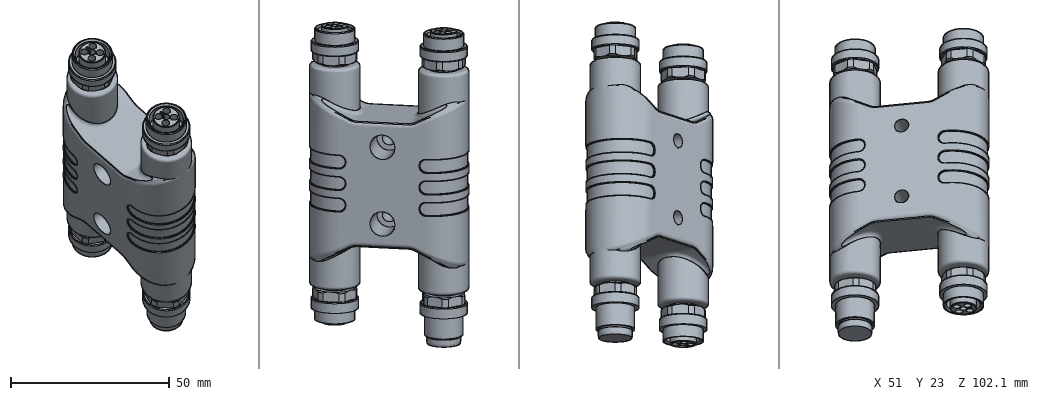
import cadquery as cq
import math

body_center_z = 2.6

body_length = 51.0
body_thickness = 23.0
web_half_height = 20.5
web_flat_half_width = 8.2
shoulder_angle = math.radians(27)
shoulder_bend_radius = 5.3
body_edge_fillet = 1.5

housing_diameter = 16.0
housing_half_height = 36.1
housing_edge_fillet = 1.0
housing_root_fillet = 1.5
root_limit_rise = 1.0
root_limit_inset = 0.5

mount_spacing = 25.1
mount_hole_diameter = 4.5
mount_bore_diameter = 8.0
mount_bore_depth = body_thickness / 2

groove_count = 3
groove_pitch = 7.0
groove_height = 4.1
groove_depth = 0.4
groove_chamfer = 0.26

nut_start = 37.1
collar_start = 40.2
collar_end = 43.7
top_female_barrel_end = 47.8
bottom_female_barrel_end = 47.5
female_insert_end = 48.5
male_barrel_end = 50.7
male_tip_end = 53.6

neck_diameter = 9.3
nut_flats = 13.0
nut_diameter = 14.0
collar_diameter = 15.0
female_barrel_diameter = 12.8
male_barrel_diameter = 12.3
male_relief_diameter = 10.9
male_relief_length = 0.5
male_tip_diameter = 10.8
male_tip_end_diameter = 10.5
nut_chamfer = 0.4
collar_chamfer = 0.3
rim_chamfer = 0.3
male_tip_chamfer_length = 0.8

socket_diameter = 10.8
socket_mouth_chamfer = 0.5
socket_depth = 5.1
insert_diameter = 8.4
insert_chamfer = 0.2
contact_diameter = 2.3
contact_offset = 1.7
contact_depth = 4.1
center_contact_diameter = 2.1
key_slot_width = 0.5
key_slot_reach = 2.8

nut_turn_left = 30.0
nut_turn_right_top = 0.0
nut_turn_right_bottom = 15.0

body_half_length = body_length / 2
end_radius = body_thickness / 2
end_center_x = body_half_length - end_radius
housing_x = body_half_length - housing_diameter / 2


def rounded_slab(length, thickness, half_height):
    """Upright slab with full-round ends along X."""
    return (
        cq.Workplane("XY")
        .slot2D(length, thickness)
        .extrude(half_height, both=True)
    )


def body_outline(rise=0.0):
    """Front outline: flat web top and bottom, with slopes towards the sides, all moved outwards by a rise."""
    bend_end_x = web_flat_half_width + shoulder_bend_radius * math.sin(shoulder_angle)
    web_z = web_half_height + rise
    bend_end_z = web_z + shoulder_bend_radius * (1 - math.cos(shoulder_angle))
    bend_mid_x = web_flat_half_width + shoulder_bend_radius * math.sin(shoulder_angle / 2)
    bend_mid_z = web_z + shoulder_bend_radius * (1 - math.cos(shoulder_angle / 2))
    side_x = body_half_length + 1
    side_z = bend_end_z + (side_x - bend_end_x) * math.tan(shoulder_angle)
    return (
        cq.Workplane("XZ")
        .moveTo(-web_flat_half_width, web_z)
        .lineTo(web_flat_half_width, web_z)
        .threePointArc((bend_mid_x, bend_mid_z), (bend_end_x, bend_end_z))
        .lineTo(side_x, side_z)
        .lineTo(side_x, -side_z)
        .lineTo(bend_end_x, -bend_end_z)
        .threePointArc((bend_mid_x, -bend_mid_z), (web_flat_half_width, -web_z))
        .lineTo(-web_flat_half_width, -web_z)
        .threePointArc((-bend_mid_x, -bend_mid_z), (-bend_end_x, -bend_end_z))
        .lineTo(-side_x, -side_z)
        .lineTo(-side_x, side_z)
        .lineTo(-bend_end_x, bend_end_z)
        .threePointArc((-bend_mid_x, bend_mid_z), (-web_flat_half_width, web_z))
        .close()
    )


def vertical_cylinders(diameter):
    """Full-height cylinders on both housing axes."""
    return (
        cq.Workplane("XY")
        .pushPoints([(-housing_x, 0), (housing_x, 0)])
        .circle(diameter / 2)
        .extrude(housing_half_height, both=True)
    )


def is_rim(edge):
    """True for the edges where the top and bottom faces meet the front, back and round sides."""
    middle = edge.positionAt(0.5)
    box = edge.BoundingBox()
    crosses_thickness = box.xlen < 0.01
    return abs(middle.z) > web_half_height - 0.1 and not crosses_thickness


def is_housing_root(edge):
    """True for the edges where a housing leaves the top or bottom face of the body."""
    points = [edge.positionAt(t) for t in (0.2, 0.5, 0.8)]
    on_housing = all(
        abs(math.hypot(abs(p.x) - housing_x, p.y) - housing_diameter / 2) < 0.01 for p in points
    )
    below_end = all(abs(p.z) < housing_half_height - 0.1 for p in points)
    is_seam = abs(points[0].z - points[-1].z) > body_thickness
    return on_housing and below_end and not is_seam


def pick_edges(part, test):
    """Select the edges of a part that pass a test."""
    return part.newObject([edge for edge in part.edges().vals() if test(edge)])


def rounded_body_slab(rise=0.0, inset=0.0):
    """Body slab with rounded rims, without housings; optionally raised and set in at the sides."""
    slab = rounded_slab(body_length - 2 * inset, body_thickness - 2 * inset, housing_half_height)
    slab = slab.intersect(body_outline(rise).extrude(body_thickness, both=True))
    return pick_edges(slab, is_rim).fillet(body_edge_fillet)


def make_body():
    """Slab and housings, with rounded rims and rounded housing roots."""
    outline = body_outline().extrude(body_thickness, both=True)
    housings = vertical_cylinders(housing_diameter).faces("<Z or >Z").edges().fillet(housing_edge_fillet)

    slab = rounded_body_slab()

    root_block = outline.union(vertical_cylinders(housing_diameter))
    root_block = pick_edges(root_block, is_housing_root).fillet(housing_root_fillet)
    roots = root_block.intersect(rounded_body_slab(root_limit_rise, root_limit_inset))
    return slab.union(roots).union(housings)


def is_groove_mouth(edge):
    """True for the edges of the grip grooves that lie on the outer surface of the body."""
    points = [edge.positionAt(t) for t in (0.2, 0.5, 0.8)]
    on_surface = all(
        abs(math.hypot(max(abs(p.x) - end_center_x, 0), p.y) - end_radius) < 0.01 for p in points
    )
    is_seam = abs(points[0].x - points[-1].x) < 0.01 and abs(points[0].y) == abs(points[-1].y)
    reach = groove_pitch * (groove_count - 1) / 2 + groove_height / 2
    return on_surface and not is_seam and abs(points[1].z) < reach + 0.01


def cut_grooves(body):
    """Grip grooves with round ends on the flat faces, wrapping around both sides."""
    inner = rounded_slab(body_length - 2 * groove_depth, body_thickness - 2 * groove_depth, web_half_height)
    shell = rounded_slab(body_length + 2, body_thickness + 2, web_half_height).cut(inner)
    slot_length = 2 * (body_half_length - end_center_x) + groove_height
    levels = [(i - (groove_count - 1) / 2) * groove_pitch for i in range(groove_count)]
    slots = (
        cq.Workplane("XZ")
        .pushPoints([(side * body_half_length, z) for side in (-1, 1) for z in levels])
        .slot2D(slot_length, groove_height)
        .extrude(body_thickness, both=True)
    )
    grooved = body.cut(slots.intersect(shell))
    return pick_edges(grooved, is_groove_mouth).chamfer(groove_chamfer)


def cut_mount_holes(body):
    """Through holes with a wide bore entering from the front."""
    return (
        body.faces("<Y")
        .workplane(origin=(0, -body_thickness / 2, 0))
        .pushPoints([(0, -mount_spacing / 2), (0, mount_spacing / 2)])
        .cboreHole(mount_hole_diameter, mount_bore_diameter, mount_bore_depth)
    )


def ring(diameter, start, end):
    """Cylinder between two levels."""
    return cq.Workplane("XY", origin=(0, 0, start)).circle(diameter / 2).extrude(end - start)


def make_nut(turn, eased):
    """Neck, hexagon nut with turned corners, and collar; an eased collar is chamfered on both ends."""
    hexagon = (
        cq.Workplane("XY", origin=(0, 0, nut_start))
        .polygon(6, nut_flats, circumscribed=True)
        .extrude(collar_start - nut_start)
        .rotate((0, 0, 0), (0, 0, 1), turn)
    )
    corners = ring(nut_diameter, nut_start, collar_start).faces("<Z").chamfer(nut_chamfer)
    collar = ring(collar_diameter, collar_start, collar_end)
    collar = collar.faces("<Z or >Z" if eased else "<Z").chamfer(collar_chamfer)
    neck = ring(neck_diameter, housing_half_height - 1, collar_start)
    return neck.union(hexagon.intersect(corners)).union(collar)


def make_female(turn, barrel_end, eased):
    """Socket connector with a contact insert standing in an annular gap."""
    barrel = ring(female_barrel_diameter, collar_start, barrel_end)
    if eased:
        barrel = barrel.faces(">Z").chamfer(rim_chamfer)
    socket_floor = barrel_end - socket_depth
    socket = ring(socket_diameter, socket_floor, barrel_end)
    mouth = (
        cq.Workplane("XY", origin=(0, 0, barrel_end))
        .circle(socket_diameter / 2 + socket_mouth_chamfer)
        .workplane(offset=-socket_mouth_chamfer)
        .circle(socket_diameter / 2)
        .loft()
    )

    gap_width = (socket_diameter - insert_diameter) / 2
    seal_ring = cq.Workplane("XY").add(
        cq.Solid.makeTorus(
            (socket_diameter + insert_diameter) / 4,
            gap_width / 2,
            cq.Vector(0, 0, socket_floor),
            cq.Vector(0, 0, 1),
        )
    )

    insert = ring(insert_diameter, socket_floor - 1, female_insert_end)
    insert = insert.faces(">Z").chamfer(insert_chamfer)
    face = cq.Workplane("XY", origin=(0, 0, female_insert_end))
    contacts = (
        face.rect(2 * contact_offset, 2 * contact_offset, forConstruction=True)
        .vertices()
        .circle(contact_diameter / 2)
        .extrude(-contact_depth)
    )
    center_contact = face.circle(center_contact_diameter / 2).extrude(-contact_depth)
    key_slot = (
        face.center(-key_slot_reach / 2, 0)
        .rect(key_slot_reach, key_slot_width)
        .extrude(-contact_depth)
    )
    insert = insert.cut(contacts).cut(center_contact).cut(key_slot)

    shell = make_nut(turn, eased).union(barrel).cut(socket).cut(mouth)
    return shell.union(seal_ring).union(insert)


def make_male(turn):
    """Plug connector with a tapered relief and a chamfered tip."""
    barrel = ring(male_barrel_diameter, collar_start, male_barrel_end)
    relief = (
        cq.Workplane("XY", origin=(0, 0, male_barrel_end))
        .circle(male_relief_diameter / 2)
        .workplane(offset=male_relief_length)
        .circle(male_tip_end_diameter / 2)
        .loft()
    )
    tip = ring(male_tip_diameter, male_barrel_end + male_relief_length, male_tip_end)
    tip = tip.faces(">Z").chamfer(male_tip_chamfer_length, (male_tip_diameter - male_tip_end_diameter) / 2)
    return make_nut(turn, eased=False).union(barrel).union(relief).union(tip)


def place(connector, x, points_down=False):
    """Move a connector to a housing axis, mirrored when it points down."""
    if points_down:
        connector = connector.mirror("XY")
    return connector.translate((x, 0, 0))


part = cut_mount_holes(cut_grooves(make_body()))
connectors = [
    place(make_female(nut_turn_left, top_female_barrel_end, eased=True), -housing_x),
    place(make_female(nut_turn_right_top, top_female_barrel_end, eased=True), housing_x),
    place(make_female(nut_turn_left, bottom_female_barrel_end, eased=False), -housing_x, points_down=True),
    place(make_male(nut_turn_right_bottom), housing_x, points_down=True),
]
for connector in connectors:
    part = part.union(connector)

result = part.translate((0, 0, body_center_z))